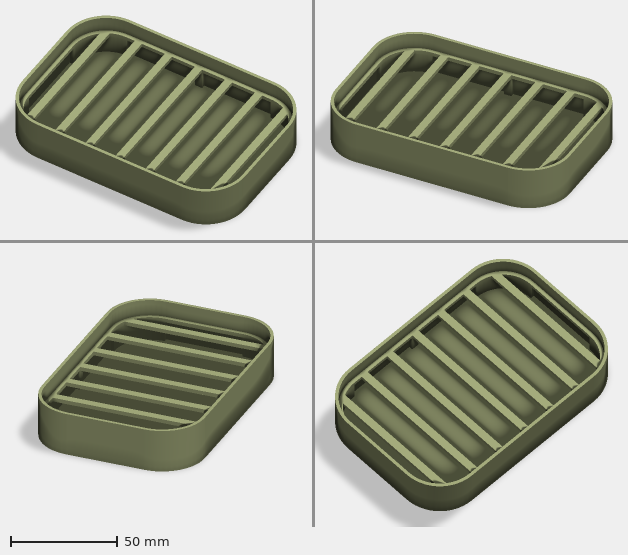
import cadquery as cq

length = 123.2
width = 83.2
height = 21.5
corner_radius = 21.7
wall = 1.6
floor = 1.5

ledge_depth = 2.0
middle_ledge_length = 4.0

grate_top = 13.5
grate_thickness = 2.0
grate_gap = 0.1
grate_rim = 2.0
bar_count = 7
bar_width = 4.0
bar_pitch = 16.6

grate_bottom = grate_top - grate_thickness
inner_width = width - 2 * wall


def rounded_block(inset, bottom, top):
    """Block whose rounded outline lies `inset` inside the tray outline."""
    return (
        cq.Workplane("XY", origin=(0, 0, bottom))
        .rect(length - 2 * inset, width - 2 * inset)
        .extrude(top - bottom)
        .edges("|Z")
        .fillet(corner_radius - inset)
    )


def corner_ledges():
    """Curved ledges that thicken the wall over each corner arc."""
    ring = rounded_block(wall, floor, grate_bottom).cut(
        rounded_block(wall + ledge_depth, floor, grate_bottom)
    )
    corners = (
        cq.Workplane("XY", origin=(0, 0, floor))
        .rect(length - corner_radius, width - corner_radius, forConstruction=True)
        .vertices()
        .rect(corner_radius, corner_radius)
        .extrude(grate_bottom - floor)
    )
    return ring.intersect(corners)


def middle_ledges():
    """Small posts halfway along the two long walls."""
    post_y = (inner_width - ledge_depth) / 2
    return (
        cq.Workplane("XY", origin=(0, 0, floor))
        .pushPoints([(0, -post_y), (0, post_y)])
        .rect(middle_ledge_length, ledge_depth)
        .extrude(grate_bottom - floor)
    )


def make_tray():
    shell = rounded_block(0, 0, height).cut(rounded_block(wall, floor, height))
    return shell.union(corner_ledges()).union(middle_ledges())


def make_grate():
    plate = rounded_block(wall + grate_gap, grate_bottom, grate_top)
    slots = rounded_block(wall + grate_gap + grate_rim, grate_bottom, grate_top)
    for index in range(bar_count):
        bar_x = (index - (bar_count - 1) / 2) * bar_pitch
        bar = (
            cq.Workplane("XY", origin=(bar_x, 0, grate_bottom))
            .rect(bar_width, width)
            .extrude(grate_thickness)
        )
        slots = slots.cut(bar)
    return plate.cut(slots)


tray = make_tray()
grate = make_grate()

result = cq.Compound.makeCompound([tray.solids().val(), grate.solids().val()])